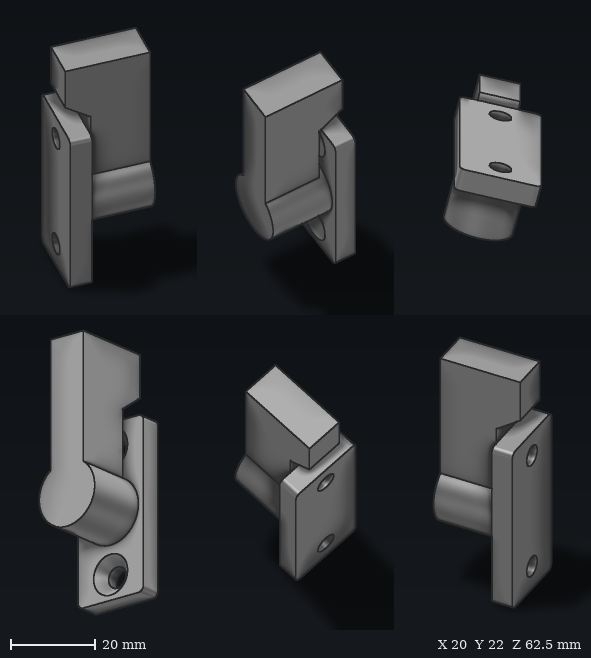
import cadquery as cq
import math

plate_width = 20.0
plate_thickness = 5.5
plate_height = 45.0
plate_corner_radius = 1.5
hole_diameter = 5.3
hole_spacing = 32.0
sink_diameter = 10.4
sink_angle = 90.0

total_depth = 22.0
total_height = 62.5
hub_diameter = 17.0
hub_center_z = plate_height / 2
arm_width = 10.0
arm_clearance = 1.5
nose_front_y = 0.5
nose_bottom_z = 51.5
nose_slope_angle = 35.0


def make_plate():
    """Rounded plate with two through holes, countersunk from the back."""
    blank = (
        cq.Workplane("XY")
        .box(plate_width, plate_thickness, plate_height, centered=(True, False, False))
        .edges("|Y")
        .fillet(plate_corner_radius)
    )
    return (
        blank.faces(">Y")
        .workplane(centerOption="CenterOfBoundBox")
        .rarray(0.6, hole_spacing, 1, 2)
        .cskHole(hole_diameter, sink_diameter, sink_angle)
    )


def make_hub():
    """Cylinder along Y, from the back of the plate to the rear face."""
    return (
        cq.Workplane("XZ", origin=(0, plate_thickness, hub_center_z))
        .circle(hub_diameter / 2)
        .extrude(plate_thickness - total_depth)
    )


def make_arm():
    """Arm rising from the hub axis, its nose reaching forward over the plate."""
    arm_front_y = plate_thickness + arm_clearance
    nose_drop = (arm_front_y - nose_front_y) * math.tan(math.radians(nose_slope_angle))
    profile = [
        (total_depth, hub_center_z),
        (total_depth, total_height),
        (nose_front_y, total_height),
        (nose_front_y, nose_bottom_z),
        (arm_front_y, nose_bottom_z - nose_drop),
        (arm_front_y, hub_center_z),
    ]
    return cq.Workplane("YZ").polyline(profile).close().extrude(arm_width / 2, both=True)


plate = make_plate()
latch = make_hub().union(make_arm())

result = cq.Compound.makeCompound([*plate.solids().vals(), *latch.solids().vals()])